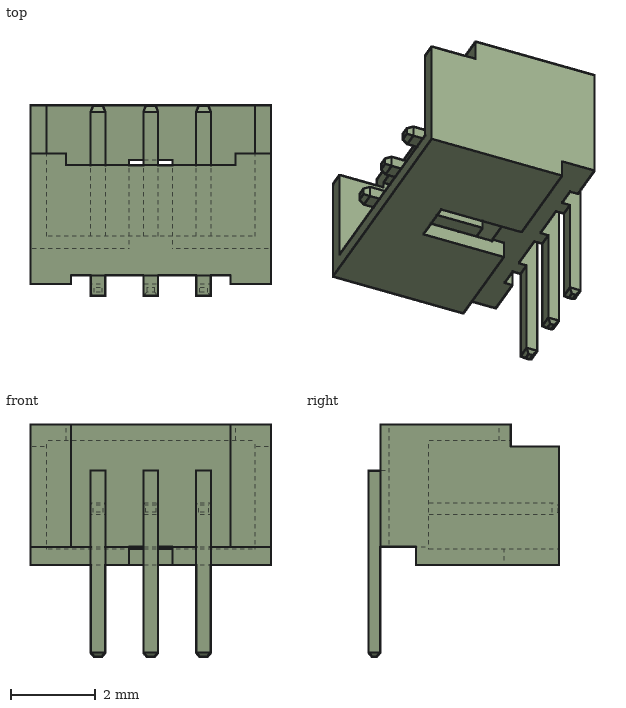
import cadquery as cq

length = 5.69
depth = 4.22
height = 3.33
wall = 0.385

rear_step_depth = 0.84
rear_step_height = 0.43
front_step_depth = 1.14
front_step_height = 0.525
rear_recess_length = 3.765
rear_recess_depth = 0.205
lid_notch_length = 3.995
lid_notch_depth = 0.28

cavity_rear = 1.14

slot_length = 1.025
slot_front = depth - 1.3

pin_count = 3
pin_pitch = 1.245
pin_width = 0.35
pin_thickness = 0.28
pin_top = 2.235
contact_height = (rear_step_height + pin_top) / 2
leg_bottom = -2.16
leg_tip_height = 0.095
leg_tip_inset = 0.085
contact_front = depth - 0.02
contact_tip_length = 0.14
contact_tip_inset = 0.055


def block(x_size, x_center, y_range, z_range):
    """Box centred on x_center that spans the given Y and Z ranges."""
    y_min, y_max = y_range
    z_min, z_max = z_range
    corner = (x_center - x_size / 2, y_min, z_min)
    return cq.Workplane("XY").box(x_size, y_max - y_min, z_max - z_min, centered=False).translate(corner)


def make_housing():
    side_profile = [
        (rear_step_depth, 0),
        (depth, 0),
        (depth, height - front_step_height),
        (depth - front_step_depth, height - front_step_height),
        (depth - front_step_depth, height),
        (0, height),
        (0, rear_step_height),
        (rear_step_depth, rear_step_height),
    ]
    housing = cq.Workplane("YZ").polyline(side_profile).close().extrude(length / 2, both=True)

    cavity_top = height - wall
    cavity_length = length - 2 * wall
    lid_notch_rear = depth - front_step_depth - lid_notch_depth
    cavity = block(cavity_length, 0, (cavity_rear, depth), (wall, cavity_top))
    open_front = block(cavity_length, 0, (depth - front_step_depth, depth), (wall, height))
    lid_notch = block(lid_notch_length, 0, (lid_notch_rear, depth), (wall, height))
    rear_recess = block(rear_recess_length, 0, (0, rear_recess_depth), (0, height))
    floor_slot = block(slot_length, 0, (rear_step_depth, slot_front), (0, rear_step_height))
    return housing.cut(cavity).cut(open_front).cut(lid_notch).cut(rear_recess).cut(floor_slot)


def tapered_tip(base, section, inset, tip_length):
    """Four-sided taper rising from the base workplane."""
    width, thickness = section
    return (
        base.rect(width, thickness)
        .workplane(offset=tip_length)
        .rect(width - 2 * inset, thickness - 2 * inset)
        .loft(combine=True)
    )


def make_pin(x):
    section = (pin_width, pin_thickness)
    leg_end = leg_bottom + leg_tip_height
    contact_end = contact_front - contact_tip_length

    leg = block(pin_width, x, (-pin_thickness, 0), (leg_end, pin_top))
    shoulder = block(pin_width, x, (0, rear_recess_depth), (rear_step_height, pin_top))
    contact_z = (contact_height - pin_thickness / 2, contact_height + pin_thickness / 2)
    contact = block(pin_width, x, (rear_recess_depth, contact_end), contact_z)

    leg_base = cq.Workplane(cq.Plane((x, -pin_thickness / 2, leg_end), (1, 0, 0), (0, 0, -1)))
    leg_tip = tapered_tip(leg_base, section, leg_tip_inset, leg_tip_height)
    contact_base = cq.Workplane(cq.Plane((x, contact_end, contact_height), (1, 0, 0), (0, 1, 0)))
    contact_tip = tapered_tip(contact_base, section, contact_tip_inset, contact_tip_length)
    return leg.union(shoulder).union(contact).union(leg_tip).union(contact_tip)


result = make_housing()
for index in range(pin_count):
    pin_x = (index - (pin_count - 1) / 2) * pin_pitch
    result = result.union(make_pin(pin_x))